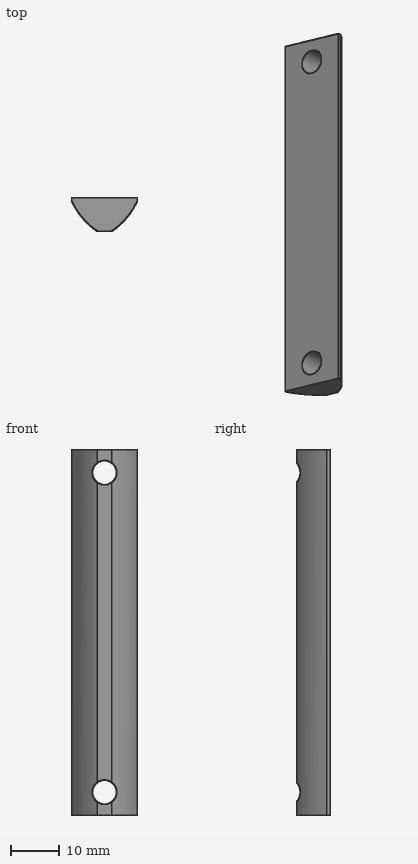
import cadquery as cq
import math

width = 13.7
depth = 7.0
length = 76.0

side_height = 0.7
front_flat_width = 3.0
flank_radius = 15.0

hole_diameter = 5.0
hole_end_distance = 4.8

front_y = -depth
side_y = -side_height
half_width = width / 2
half_flat = front_flat_width / 2


def flank_midpoint():
    """Middle point of the +X flank arc, bulging away from the section's centre."""
    run = half_width - half_flat
    rise = side_y - front_y
    chord = math.hypot(run, rise)
    bulge = flank_radius - math.sqrt(flank_radius**2 - (chord / 2) ** 2)
    x = (half_width + half_flat) / 2 + bulge * rise / chord
    y = (side_y + front_y) / 2 - bulge * run / chord
    return x, y


def make_bar():
    """Extrude the cross-section along Z."""
    mid_x, mid_y = flank_midpoint()
    return (
        cq.Workplane("XY")
        .workplane(offset=-length / 2)
        .moveTo(-half_width, 0)
        .lineTo(half_width, 0)
        .lineTo(half_width, side_y)
        .threePointArc((mid_x, mid_y), (half_flat, front_y))
        .lineTo(-half_flat, front_y)
        .threePointArc((-mid_x, mid_y), (-half_width, side_y))
        .close()
        .extrude(length)
    )


def make_holes():
    """Round cutters running from the back face out through the front flat."""
    hole_z = length / 2 - hole_end_distance
    return (
        cq.Workplane("XZ")
        .pushPoints([(0, -hole_z), (0, hole_z)])
        .circle(hole_diameter / 2)
        .extrude(depth)
    )


result = make_bar().cut(make_holes())